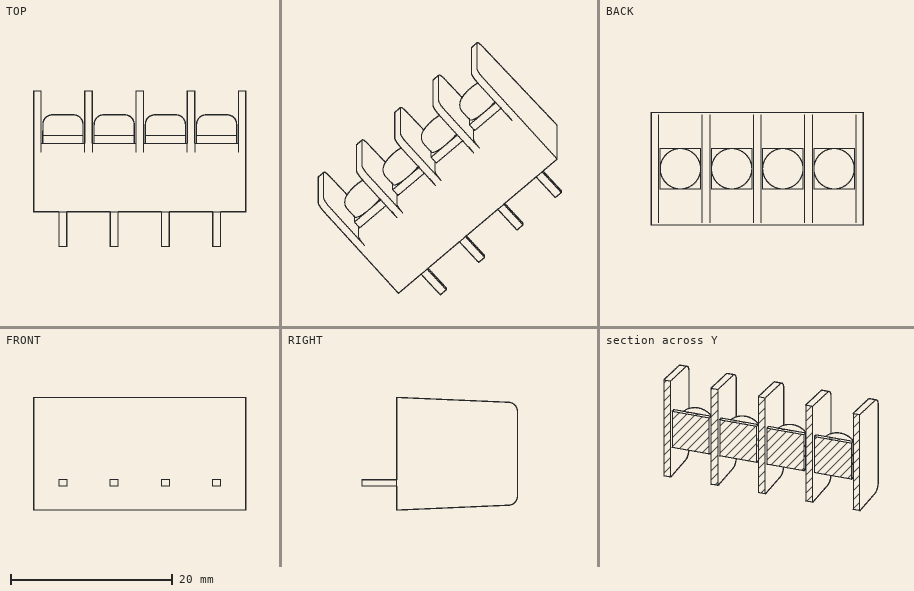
import cadquery as cq
import math


terminal_count = 4
pitch = 6.35

housing_width = 26.3
housing_height = 14.0
wall_depth = 15.0
core_depth = 8.5
draft_angle = 2.5
edge_radius = 1.15
bay_width = 5.4

washer_side = 5.0
washer_thickness = 1.0
head_diameter = washer_side
head_height = 2.55
head_edge_radius = 1.2

pin_width = 1.0
pin_thickness = 0.8
pin_length = 4.3
pin_center_z = -3.6

terminal_centers = [
    (index - (terminal_count - 1) / 2) * pitch
    for index in range(terminal_count)
]


def tapered_block(width, depth, center_x):
    """Block narrowing in Z toward +Y, with its two far edges rounded."""
    half_base = housing_height / 2
    half_tip = half_base - depth * math.tan(math.radians(draft_angle))
    return (
        cq.Workplane("YZ", origin=(center_x - width / 2, 0, 0))
        .polyline([
            (0, -half_base),
            (depth, -half_tip),
            (depth, half_tip),
            (0, half_base),
        ])
        .close()
        .extrude(width)
        .faces(">Y")
        .edges("|X")
        .fillet(edge_radius)
    )


def housing():
    """Full-depth block with each bay cut back to the shallower core."""
    body = tapered_block(housing_width, wall_depth, 0)
    for center_x in terminal_centers:
        bay = cq.Workplane("XY").box(
            bay_width, wall_depth, housing_height, centered=(True, False, True)
        ).translate((center_x, 0, 0))
        core = tapered_block(bay_width, core_depth, center_x)
        body = body.cut(bay.cut(core))
    return body


def washer(center_x):
    """Square clamp washer seated on the floor of a bay."""
    return cq.Workplane("XY").box(
        washer_side, washer_thickness, washer_side, centered=(True, False, True)
    ).translate((center_x, core_depth, 0))


def screw_head(center_x):
    """Round screw head with a rounded rim, standing on the washer."""
    seat_y = core_depth + washer_thickness
    return (
        cq.Workplane("XZ", origin=(center_x, seat_y, 0))
        .circle(head_diameter / 2)
        .extrude(-head_height)
        .faces(">Y")
        .edges()
        .fillet(head_edge_radius)
    )


def solder_pin(center_x):
    """Rectangular pin standing out of the mounting face toward -Y."""
    return (
        cq.Workplane("XZ", origin=(center_x, 0, pin_center_z))
        .rect(pin_width, pin_thickness)
        .extrude(pin_length)
    )


result = housing()
for terminal_x in terminal_centers:
    result = result.union(washer(terminal_x))
    result = result.union(screw_head(terminal_x))
    result = result.union(solder_pin(terminal_x))